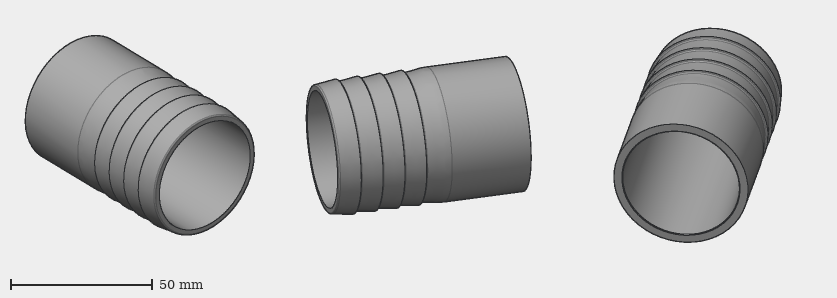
import cadquery as cq
import math

length = 70.0
outer_radius = 24.15
bore_radius = 21.0
bore_chamfer = 0.3

plain_length = 28.9
root_radius = 23.2

barb_count = 4
barb_pitch = 8.0
root_fillet = 0.5
wall_lean = math.radians(10)
tip_fillet = 0.5

barbs_start = length - tip_fillet - barb_count * barb_pitch

wall_turn = math.pi / 2 - wall_lean


def fillet_point(start, angle):
    """Point on the root fillet that begins at X = start, after turning by angle."""
    return (
        start + root_fillet * math.sin(angle),
        root_radius + root_fillet * (1 - math.cos(angle)),
    )


def outer_body():
    """Solid of revolution about X carrying the neck and the barbs."""
    profile = (
        cq.Workplane("XZ")
        .lineTo(0, outer_radius)
        .lineTo(plain_length, outer_radius)
        .spline(
            [(barbs_start, root_radius)],
            tangents=[(1, 0), (1, 0)],
            includeCurrent=True,
        )
    )
    for index in range(barb_count):
        start = barbs_start + index * barb_pitch
        wall_foot = fillet_point(start, wall_turn)
        wall_run = (outer_radius - wall_foot[1]) * math.tan(wall_lean)
        profile = (
            profile.threePointArc(fillet_point(start, wall_turn / 2), wall_foot)
            .lineTo(wall_foot[0] + wall_run, outer_radius)
            .lineTo(start + barb_pitch, root_radius)
        )
    profile = (
        profile.radiusArc((length, root_radius - tip_fillet), tip_fillet)
        .lineTo(length, 0)
        .close()
    )
    return profile.revolve(360, (0, 0, 0), (1, 0, 0))


def bore():
    """Through bore, chamfered at the plain end."""
    profile = (
        cq.Workplane("XZ")
        .lineTo(0, bore_radius + bore_chamfer)
        .lineTo(bore_chamfer, bore_radius)
        .lineTo(length, bore_radius)
        .lineTo(length, 0)
        .close()
    )
    return profile.revolve(360, (0, 0, 0), (1, 0, 0))


result = outer_body().cut(bore())